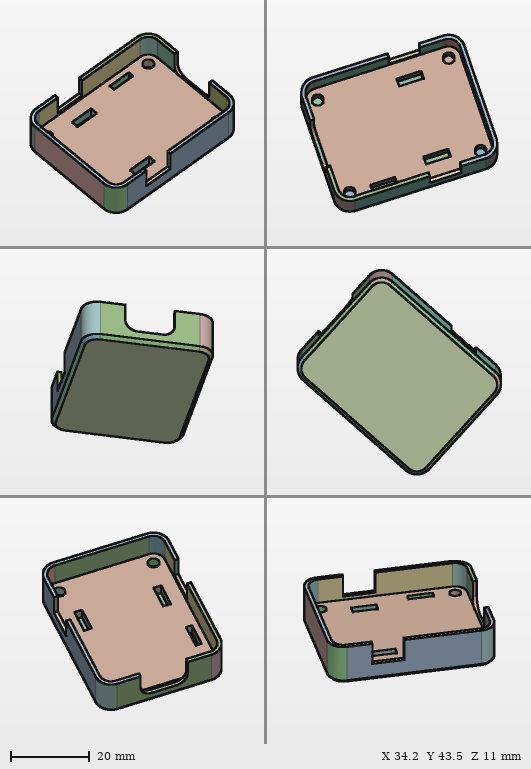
import cadquery as cq

LENGTH_X = 34.2
LENGTH_Y = 43.5
HEIGHT = 11.0
WALL = 1.1
CORNER_RADIUS = 4.2
BOTTOM_CHAMFER = 1.0
FLOOR_THICKNESS = 4.0

HOLE_DIAMETER = 3.0
POCKET_DEPTH = 3.0
HOLE_X = LENGTH_X / 2 - CORNER_RADIUS
HOLE_Y = LENGTH_Y / 2 - CORNER_RADIUS

POCKET_LENGTH = 6.6
PAIR_POCKET_WIDTH = 2.1
PAIR_POCKET_X = 10.85
PAIR_POCKET_Y = -6.55
SINGLE_POCKET_WIDTH = 1.6
SINGLE_POCKET_X = -13.4
SINGLE_POCKET_Y = 8.65

SIDE_NOTCH_LENGTH = 8.4
SIDE_NOTCH_Y = -6.75
SIDE_NOTCH_Z = 5.0
BACK_NOTCH_WIDTH = 12.9
BACK_NOTCH_RADIUS = 3.25
BACK_NOTCH_Z = 3.2


def tray():
    """Rounded box with a chamfered bottom edge and an open cavity."""
    body = (
        cq.Workplane("XY")
        .rect(LENGTH_X, LENGTH_Y)
        .extrude(HEIGHT)
        .edges("|Z")
        .fillet(CORNER_RADIUS)
        .faces("<Z")
        .chamfer(BOTTOM_CHAMFER)
    )
    cavity = (
        cq.Workplane("XY")
        .workplane(offset=FLOOR_THICKNESS)
        .rect(LENGTH_X - 2 * WALL, LENGTH_Y - 2 * WALL)
        .extrude(HEIGHT - FLOOR_THICKNESS)
        .edges("|Z")
        .fillet(CORNER_RADIUS - WALL)
    )
    return body.cut(cavity)


def floor_plane():
    """Workplane at the bottom of the pockets in the floor."""
    return cq.Workplane("XY").workplane(offset=FLOOR_THICKNESS - POCKET_DEPTH)


def corner_holes():
    """Four blind holes, one near each corner."""
    return (
        floor_plane()
        .rect(2 * HOLE_X, 2 * HOLE_Y, forConstruction=True)
        .vertices()
        .circle(HOLE_DIAMETER / 2)
        .extrude(POCKET_DEPTH)
    )


def floor_pocket(x, y, width):
    """Blind rectangular pocket, long along Y."""
    return floor_plane().center(x, y).rect(width, POCKET_LENGTH).extrude(POCKET_DEPTH)


def side_notch():
    """Rectangular opening through both X walls."""
    return (
        cq.Workplane("XY")
        .workplane(offset=SIDE_NOTCH_Z)
        .center(0, SIDE_NOTCH_Y)
        .rect(LENGTH_X, SIDE_NOTCH_LENGTH)
        .extrude(HEIGHT - SIDE_NOTCH_Z)
    )


def back_notch():
    """Opening through the +Y wall with rounded lower corners."""
    notch_height = HEIGHT - BACK_NOTCH_Z
    return (
        cq.Workplane("XY")
        .box(BACK_NOTCH_WIDTH, WALL, notch_height, centered=(True, False, False))
        .edges("|Y and <Z")
        .fillet(BACK_NOTCH_RADIUS)
        .translate((0, LENGTH_Y / 2 - WALL, BACK_NOTCH_Z))
    )


result = tray().cut(corner_holes()).cut(side_notch()).cut(back_notch())
for pair_x in (-PAIR_POCKET_X, PAIR_POCKET_X):
    result = result.cut(floor_pocket(pair_x, PAIR_POCKET_Y, PAIR_POCKET_WIDTH))
result = result.cut(floor_pocket(SINGLE_POCKET_X, SINGLE_POCKET_Y, SINGLE_POCKET_WIDTH))